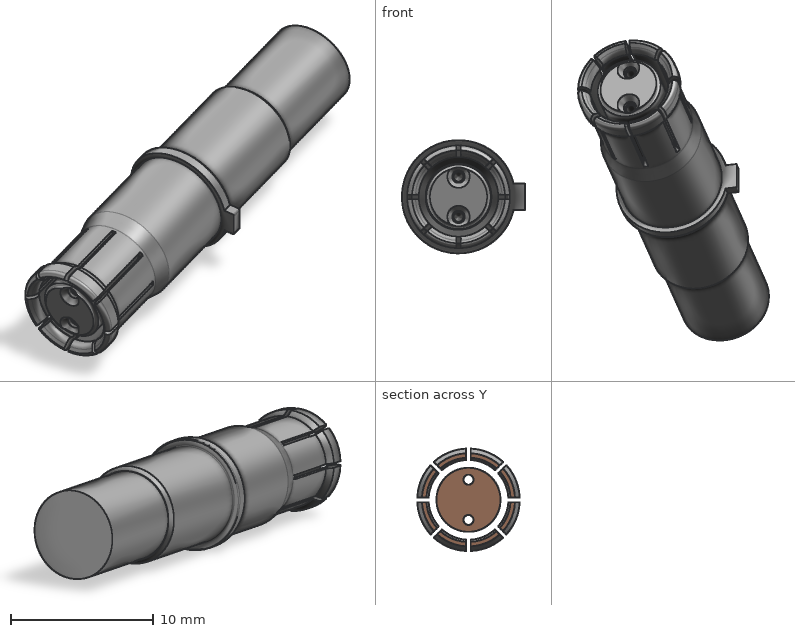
import cadquery as cq
import math

total_length = 31.45
lip_round = 0.35
collar_rear = 1.2
collar_cone_end = 1.73
neck_end = 6.4
barrel_start = 7.65
flange_front = 14.35
flange_width = 0.8
flange_rear = flange_front + flange_width
flange_round = 0.08
body_rear = 23.65
body_chamfer = 0.28

collar_radius = 3.62
neck_diameter = 6.58
neck_radius = neck_diameter / 2
barrel_radius = 3.62
flange_radius = 4.0
body_radius = 3.5
tail_radius = 3.18

tab_reach = 4.7
tab_height = 1.9

slot_count = 8
slot_width = 0.3
slot_end = 6.15

lip_radius = collar_radius - lip_round
mouth_depth = 0.22
throat_radius = 3.05
throat_round = 0.75
bore_radius = 2.8
relief_start = 0.82
relief_end = 5.98
relief_radius = 2.95
seat_start = slot_end
seat_end_radius = 2.33
insert_radius = 2.25
insert_round = 0.25
insert_face = 0.45

hole_offset = 1.4
sink_radius = 0.8
sink_depth = 0.47
hole_radius = 0.45
hole_depth = 0.8
contact_radius = 0.35
contact_depth = 3.15
drill_point_angle = 118.0


def revolve_about_axis(profile):
    """Revolve a closed (radius, distance) profile about the Y axis."""
    return profile.close().revolve(360, (0, 0, 0), (0, 1, 0))


def make_body():
    arc_step = lip_round * math.sqrt(0.5)
    arc_middle = (lip_radius + arc_step, lip_round - arc_step)
    profile = (
        cq.Workplane("XY")
        .moveTo(0, 0)
        .lineTo(lip_radius, 0)
        .threePointArc(arc_middle, (collar_radius, lip_round))
        .lineTo(collar_radius, collar_rear)
        .lineTo(neck_radius, collar_cone_end)
        .lineTo(neck_radius, neck_end)
        .lineTo(barrel_radius, barrel_start)
        .lineTo(barrel_radius, flange_front)
        .lineTo(flange_radius, flange_front)
        .lineTo(flange_radius, flange_rear - flange_round)
        .radiusArc((flange_radius - flange_round, flange_rear), -flange_round)
        .lineTo(body_radius + flange_round, flange_rear)
        .radiusArc((body_radius, flange_rear + flange_round), flange_round)
        .lineTo(body_radius, body_rear - body_chamfer)
        .lineTo(body_radius - body_chamfer, body_rear)
        .lineTo(tail_radius, body_rear)
        .lineTo(tail_radius, total_length)
        .lineTo(0, total_length)
    )
    return revolve_about_axis(profile)


def make_socket():
    """Space in front of and around the insert."""
    throat_drop = throat_round - (throat_radius - bore_radius)
    throat_end = mouth_depth + math.sqrt(throat_round**2 - throat_drop**2)
    seat_end = seat_start + bore_radius - seat_end_radius
    profile = (
        cq.Workplane("XY")
        .moveTo(0, 0)
        .lineTo(lip_radius, 0)
        .lineTo(throat_radius, mouth_depth)
        .radiusArc((bore_radius, throat_end), throat_round)
        .lineTo(bore_radius, relief_start)
        .lineTo(relief_radius, relief_start + relief_radius - bore_radius)
        .lineTo(relief_radius, relief_end)
        .lineTo(bore_radius, relief_end)
        .lineTo(bore_radius, seat_start)
        .lineTo(seat_end_radius, seat_end)
        .lineTo(insert_radius, seat_end)
        .lineTo(insert_radius, insert_face + insert_round)
        .radiusArc((insert_radius - insert_round, insert_face), -insert_round)
        .lineTo(0, insert_face)
    )
    return revolve_about_axis(profile)


def make_tab():
    tab = cq.Workplane("XY").box(
        tab_reach, flange_width, tab_height, centered=(False, False, True)
    )
    tab = tab.edges("(>X and |Y) or (>Y and |X) or (>X and >Y)").fillet(flange_round)
    return tab.translate((0, flange_front, 0))


def make_slot(angle):
    """Radial slot through the sleeve wall, clear of the insert."""
    inner_radius = (insert_radius + bore_radius) / 2
    slot = cq.Workplane("XY").box(
        flange_radius - inner_radius, slot_end, slot_width, centered=(False, False, True)
    )
    return slot.translate((inner_radius, 0, 0)).rotate((0, 0, 0), (0, 1, 0), angle)


def make_contact_hole(height):
    """Countersunk hole stepping down to a blind contact bore with a drill point."""
    point_length = contact_radius / math.tan(math.radians(drill_point_angle / 2))
    profile = (
        cq.Workplane("XY")
        .moveTo(0, 0)
        .lineTo(sink_radius, 0)
        .lineTo(sink_radius, insert_face)
        .lineTo(hole_radius, insert_face + sink_depth)
        .lineTo(hole_radius, insert_face + hole_depth)
        .lineTo(contact_radius, insert_face + hole_depth)
        .lineTo(contact_radius, insert_face + contact_depth)
        .lineTo(0, insert_face + contact_depth + point_length)
    )
    return revolve_about_axis(profile).translate((0, 0, height))


result = make_body().union(make_tab()).cut(make_socket())
for index in range(slot_count):
    result = result.cut(make_slot(index * 360 / slot_count))
for height in (-hole_offset, hole_offset):
    result = result.cut(make_contact_hole(height))